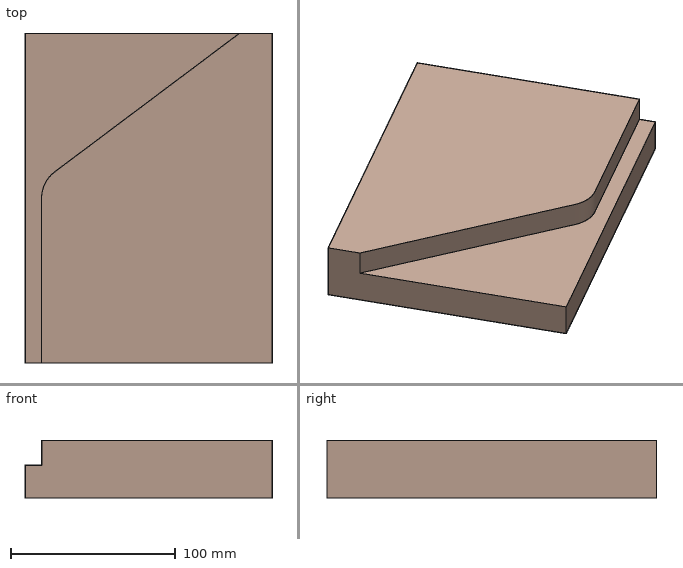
import cadquery as cq

width = 150.0
length = 200.0
base_height = 20.0

step_height = 15.0
ledge_width = 10.0
slant_start_y = 110.0
back_edge_width = 20.0
corner_radius = 20.0


def make_base():
    return cq.Workplane("XY").box(width, length, base_height, centered=False)


def make_raised_block():
    outline = [
        (ledge_width, 0),
        (width, 0),
        (width, length),
        (width - back_edge_width, length),
        (ledge_width, slant_start_y),
    ]
    block = (
        cq.Workplane("XY")
        .workplane(offset=base_height)
        .polyline(outline)
        .close()
        .extrude(step_height)
    )
    slant_corner = (ledge_width, slant_start_y, base_height + step_height / 2)
    return block.edges(cq.selectors.NearestToPointSelector(slant_corner)).fillet(corner_radius)


result = make_base().union(make_raised_block())